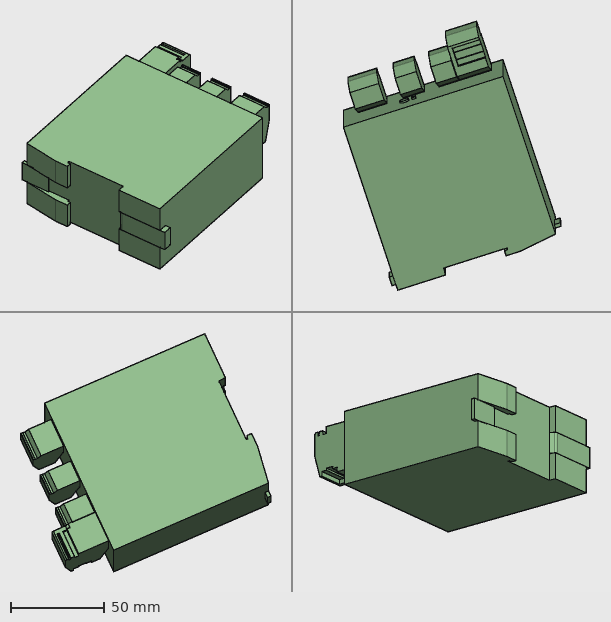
import cadquery as cq


overall_width = 96.2
body_width = 89.9
body_thickness = 42.0
body_face_y = 94.0
left_x = -body_width / 2
right_x = body_width / 2

slot_floor_y = 4.0
slot_floor_right_x = 17.8
slot_mouth_right_x = 18.0
foot_end_x = -16.0
foot_ramp_end_x = -23.9
foot_ramp_y = 3.1
undercut_x = -17.9
undercut_outer_y = 2.6
undercut_inner_y = 3.1

latch_thickness = 12.0
latch_z = (-latch_thickness / 2, latch_thickness / 2)
latch_overhang = (overall_width - body_width) / 2
latch_top_y = 5.1
left_latch_y = 3.1
left_latch_end_x = -30.8
nose_tip_x = 16.8
nose_tip_y = 3.1
nose_corner_x = 19.0
nose_radius = 1.8
right_latch_recess = 0.1

plug_bottom_z = -9.3
plug_taper_z = 3.2
plug_root_y = body_face_y + 0.4
plug_bottom_root_y = 99.1
plug_front_taper = 3.5

large_front_y = 119.5
large_top_z = 18.4
large_left_x = -38.4
large_width = 17.6
ledge_y = 111.6
ledge_z = 16.6
ledge_chamfer = 1.0
plug_wall = 2.3
groove_floor_z = 14.5
groove_draft = 0.4
outer_groove_y = (116.2, 117.3)
inner_groove_y = (ledge_y, 114.1)
ledge_notch_depth_y = 1.8
ledge_notch_z = 17.5
recess_y = (104.2, 114.6)
recess_z = -6.7
recess_step_y = (107.3, 111.5)
recess_step_z = -5.5

small_front_y = 112.0
small_top_z = 15.8
small_plugs = [(-20.4, 11.5), (-0.8, 12.0), (20.3, 16.3)]
bevel_start_y = 107.2
bevel_end_y = 109.3
valley_z = small_top_z - (bevel_end_y - bevel_start_y)
lip_y = 110.7
lip_height = 0.8
lip_chamfer = 0.4

indicator_diameter = 5.0
indicator_height = 1.0
indicator_x = 10.5
indicator_z = -5.5
pin_size = 2.3
pin_x = 5.1


def box(x_span, y_span, z_span):
    """Axis-aligned box from its (low, high) limits along X, Y and Z."""
    spans = (x_span, y_span, z_span)
    size = [high - low for low, high in spans]
    corner = tuple(low for low, high in spans)
    return cq.Workplane("XY").box(*size, centered=False).translate(corner)


def across_thickness(points, thickness):
    """XY outline made into a plate centred on Z = 0."""
    return cq.Workplane("XY").polyline(points).close().extrude(thickness / 2, both=True)


def housing():
    outline = [
        (left_x, body_face_y),
        (left_x, foot_ramp_y),
        (foot_ramp_end_x, 0),
        (foot_end_x, 0),
        (foot_end_x, undercut_outer_y),
        (undercut_x, undercut_inner_y),
        (undercut_x, slot_floor_y),
        (slot_floor_right_x, slot_floor_y),
        (slot_mouth_right_x, 0),
        (right_x, 0),
        (right_x, body_face_y),
    ]
    return across_thickness(outline, body_thickness)


def foot_gap():
    """Clearance that splits the left foot for the latch."""
    return box((left_x, foot_end_x), (0, slot_floor_y), latch_z)


def right_latch_channel():
    """Band of the right foot that the latch slides in."""
    return box((slot_floor_right_x, right_x), (0, slot_floor_y), latch_z)


def left_latch():
    return box((left_x - latch_overhang, left_latch_end_x), (left_latch_y, latch_top_y), latch_z)


def right_latch():
    outline = [
        (nose_tip_x, nose_tip_y),
        (nose_corner_x, right_latch_recess),
        (right_x + latch_overhang, right_latch_recess),
        (right_x + latch_overhang, latch_top_y),
        (slot_floor_right_x, latch_top_y),
        (slot_floor_right_x, nose_tip_y),
    ]
    latch = across_thickness(outline, latch_thickness)
    nose_corner = cq.selectors.NearestToPointSelector((nose_corner_x, right_latch_recess, 0))
    return latch.edges(nose_corner).fillet(nose_radius)


def plug(left, width, front_y, top_outline):
    """Plug body: a YZ top outline, from the housing to the front, above a base that tapers toward -Z."""
    outline = [
        *top_outline,
        (front_y, plug_taper_z),
        (front_y - plug_front_taper, plug_bottom_z),
        (plug_bottom_root_y, plug_bottom_z),
        (plug_root_y, plug_taper_z),
        (body_face_y, plug_taper_z),
    ]
    return cq.Workplane("YZ", origin=(left, 0, 0)).polyline(outline).close().extrude(width)


def groove(x_span, mouth_y, floor_y):
    """Groove along X whose Y limits differ between its mouth on the ledge and its floor."""
    outline = [
        (mouth_y[0], ledge_z),
        (mouth_y[1], ledge_z),
        (floor_y[1], groove_floor_z),
        (floor_y[0], groove_floor_z),
    ]
    start_x, end_x = x_span
    sketch = cq.Workplane("YZ", origin=(start_x, 0, 0)).polyline(outline).close()
    return sketch.extrude(end_x - start_x)


def large_plug():
    top_outline = [
        (body_face_y, large_top_z),
        (ledge_y, large_top_z),
        (ledge_y, ledge_z),
        (large_front_y - ledge_chamfer, ledge_z),
        (large_front_y, ledge_z - ledge_chamfer),
    ]
    body = plug(large_left_x, large_width, large_front_y, top_outline)

    right = large_left_x + large_width
    open_x = (large_left_x, right - plug_wall)
    outer_low, outer_high = outer_groove_y
    inner_low, inner_high = inner_groove_y
    body = body.cut(groove(open_x, outer_groove_y, (outer_low + groove_draft, outer_high)))
    body = body.cut(groove(open_x, inner_groove_y, (inner_low, inner_high - groove_draft)))
    body = body.cut(box(open_x, recess_y, (plug_bottom_z, recess_z)))
    body = body.cut(box(open_x, recess_step_y, (recess_z, recess_step_z)))

    notch_y = (ledge_y - ledge_notch_depth_y, ledge_y)
    return body.cut(box((right - plug_wall, right), notch_y, (ledge_notch_z, large_top_z)))


def small_plug(left, width):
    lip_z = valley_z + lip_height
    top_outline = [
        (body_face_y, small_top_z),
        (bevel_start_y, small_top_z),
        (bevel_end_y, valley_z),
        (lip_y, valley_z),
        (lip_y, lip_z),
        (small_front_y - lip_chamfer, lip_z),
        (small_front_y, lip_z - lip_chamfer),
    ]
    return plug(left, width, small_front_y, top_outline)


def indicators():
    """Round indicator and a small square pin beside it."""
    face = cq.Workplane("XZ", origin=(0, body_face_y, indicator_z))
    lamp = face.center(indicator_x, 0).circle(indicator_diameter / 2).extrude(-indicator_height)
    pin = face.center(pin_x, 0).rect(pin_size, pin_size).extrude(-indicator_height)
    return lamp.union(pin)


result = housing().cut(foot_gap()).cut(right_latch_channel())
result = result.union(left_latch()).union(right_latch())
result = result.union(large_plug())
for plug_left, plug_width in small_plugs:
    result = result.union(small_plug(plug_left, plug_width))
result = result.union(indicators())